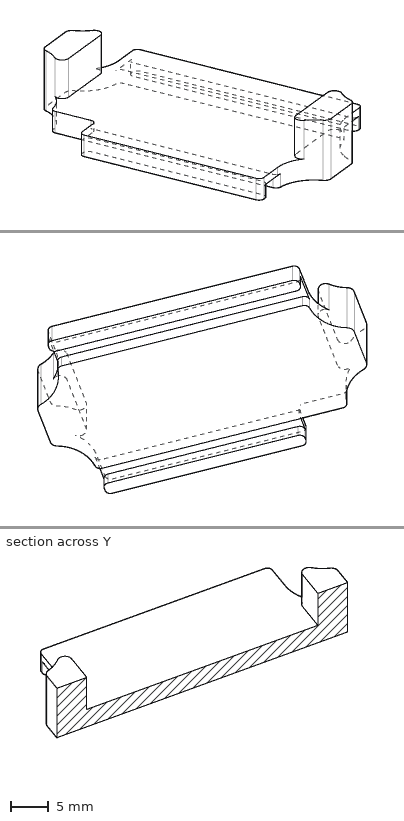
import cadquery as cq
import math

overall_length = 43.72
body_length = 34.74
body_width = 26.46
overall_height = 8.8
plate_top = 3.16
plate_thickness = 1.2
core_width = 17.74
rail_width = 1.81
ear_arc_radius = 5.53
ear_fillet = 1.0
corner_fillet = 0.75
notch_length = 6.95

half_overall = overall_length / 2
half_body = body_length / 2
half_width = body_width / 2
half_core = core_width / 2
plate_bottom = plate_top - plate_thickness
notch_x = -half_body + notch_length
post_length = half_overall - half_body


def flank_y(x):
    """Y of the concave +Y flank at distance x from the YZ plane."""
    offset = half_body + ear_arc_radius - x
    return half_core - math.sqrt(ear_arc_radius**2 - offset**2)


tip_y = flank_y(half_overall)
flank_mid_x = (half_body + half_overall) / 2
flank_mid_y = flank_y(flank_mid_x)


def block(x_min, x_max, y_min, y_max, z_min, z_max):
    """Axis-aligned box between the given limits."""
    size = (x_max - x_min, y_max - y_min, z_max - z_min)
    return cq.Workplane("XY").box(*size, centered=False).translate((x_min, y_min, z_min))


def fillet_upright(body, x, y, radius):
    """Round the vertical edge that stands at (x, y)."""
    reach = 0.05
    low = (x - reach, y - reach, -overall_height)
    high = (x + reach, y + reach, 2 * overall_height)
    return body.edges("|Z").edges(cq.selectors.BoxSelector(low, high)).fillet(radius)


def eared_block(z_min, z_max):
    """Middle block with a tapering ear on each end; only the ear tips are rounded."""
    body = (
        cq.Workplane("XY", origin=(0, 0, z_min))
        .moveTo(-half_body, half_core)
        .lineTo(half_body, half_core)
        .threePointArc((flank_mid_x, flank_mid_y), (half_overall, tip_y))
        .lineTo(half_overall, -tip_y)
        .threePointArc((flank_mid_x, -flank_mid_y), (half_body, -half_core))
        .lineTo(-half_body, -half_core)
        .threePointArc((-flank_mid_x, -flank_mid_y), (-half_overall, -tip_y))
        .lineTo(-half_overall, tip_y)
        .threePointArc((-flank_mid_x, flank_mid_y), (-half_body, half_core))
        .close()
        .extrude(z_max - z_min)
    )
    for x in (-half_overall, half_overall):
        for y in (-tip_y, tip_y):
            body = fillet_upright(body, x, y, ear_fillet)
    return body


def make_plate():
    """Top plate: eared rectangle with one notched corner."""
    body = eared_block(plate_bottom, plate_top)
    for y_min, y_max, x_min in (
        (half_core, half_width, -half_body),
        (-half_width, -half_core, notch_x),
    ):
        body = body.union(block(x_min, half_body, y_min, y_max, plate_bottom, plate_top))
    corners = (
        (-half_body, half_width),
        (half_body, half_width),
        (half_body, -half_width),
        (notch_x, -half_width),
        (notch_x, -half_core),
        (-half_body, -half_core),
    )
    for x, y in corners:
        body = fillet_upright(body, x, y, corner_fillet)
    return body


def make_core():
    """Solid block under the middle of the plate, ears included."""
    body = eared_block(0, plate_bottom)
    for x in (-half_body, half_body):
        for y in (-half_core, half_core):
            body = fillet_upright(body, x, y, corner_fillet)
    return body


def make_rail(x_min, y_min):
    """Rail under a long edge, running to the +X end of the body."""
    rail = block(x_min, half_body, y_min, y_min + rail_width, 0, plate_bottom)
    return rail.edges("|Z").fillet(corner_fillet)


def make_post(x_min):
    """Post standing on one ear, with a flat inner face and rounded inner edges."""
    envelope = block(x_min, x_min + post_length, -half_core, half_core, plate_bottom, overall_height)
    post = eared_block(plate_bottom, overall_height).intersect(envelope)
    inner_x = math.copysign(half_body, x_min)
    for y in (-half_core, half_core):
        post = fillet_upright(post, inner_x, y, ear_fillet)
    return post


result = (
    make_plate()
    .union(make_core())
    .union(make_rail(-half_body, half_width - rail_width))
    .union(make_rail(notch_x, -half_width))
    .union(make_post(-half_overall))
    .union(make_post(half_body))
)